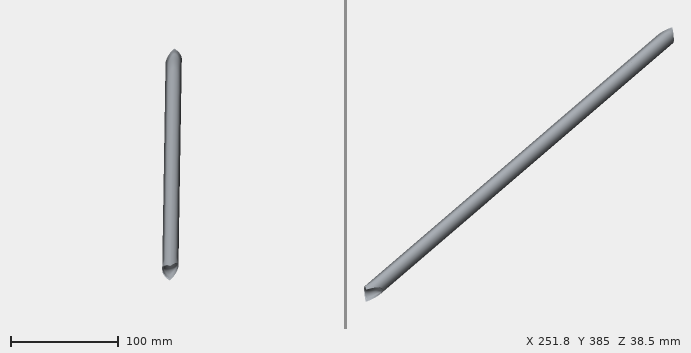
import cadquery as cq
import math

span_x = 251.0
span_y = 384.5
drop_z = 23.5
tube_diameter = 15.0
wall = 0.8

rail_diameter = tube_diameter
rail_headings = (37.0, 73.0)
rail_length = 154.0

start = cq.Vector(-span_x / 2, span_y / 2, drop_z / 2)
end = cq.Vector(span_x / 2, -span_y / 2, -drop_z / 2)
tube_length = (end - start).Length
tube_direction = (end - start).normalized()


def make_tube():
    """Round tube running along the straight line from start to end."""
    profile = cq.Workplane(cq.Plane(start, normal=tube_direction))
    return profile.circle(tube_diameter / 2).circle(tube_diameter / 2 - wall).extrude(tube_length)


def make_rail(joint, heading):
    """Solid level bar centred on a joint, turned to a heading."""
    angle = math.radians(heading)
    direction = cq.Vector(math.cos(angle), math.sin(angle), 0)
    base = joint - direction * (rail_length / 2)
    return cq.Workplane(cq.Plane(base, normal=direction)).circle(rail_diameter / 2).extrude(rail_length)


result = make_tube()

for joint in (start, end):
    for heading in rail_headings:
        result = result.cut(make_rail(joint, heading))